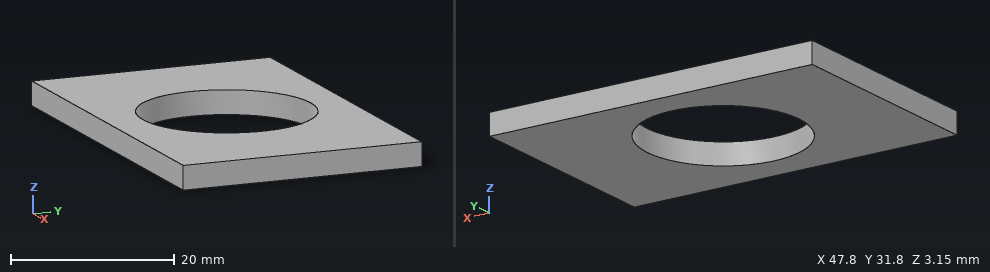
import cadquery as cq

length = 47.75
width = 31.75
thickness = 3.15
hole_diameter = 22.35

plate = cq.Workplane("XY").box(length, width, thickness)
result = plate.faces(">Z").workplane().hole(hole_diameter)